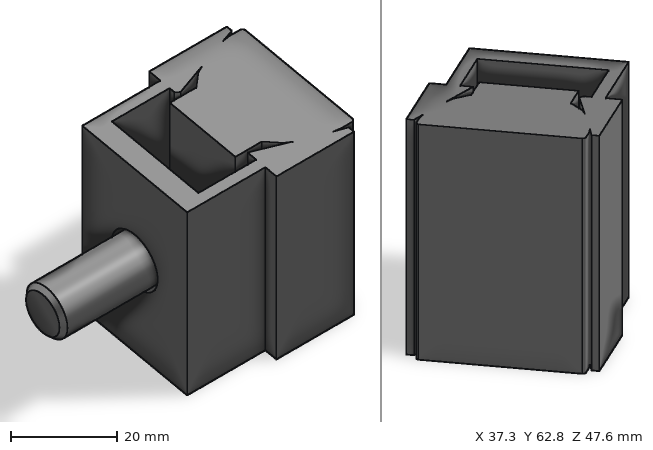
import cadquery as cq

height = 47.6
overall_length = 62.8

block_half_width = 37.3 / 2
frame_half_width = 15.4
window_half_width = 12.7
front_wall = 5.0
shoulder_y = 19.15
block_back_y = 38.2

cap_half_width = 16.4
cap_back_y = 40.25
cap_corner_width = 0.55
cap_corner_depth = 0.9
cap_corner_bulge = 0.3

groove_outer_x = 17.15
groove_root_x = 16.15
groove_root_y = 35.2
groove_neck_y = 37.0

plug_half_width = 9.6
plug_front_y = 16.65
plug_slope_y = 23.2
slit_bend_rise = 2.9
slit_tip_x = 13.3
slit_tip_y = 27.6
hook_tip_x = 10.2
rounded_hook_x = 10.6
rounded_hook_y = 20.2
rounded_hook_base_x = 11.25
rounded_hook_mid_x = 10.75
rounded_hook_mid_y = 19.7

pin_diameter = 12.0
pin_length = overall_length - cap_back_y
pin_chamfer = 1.05
hole_diameter = 13.5


def extrude(profile):
    return profile.close().extrude(height / 2, both=True)


def make_outer_body():
    """Solid outline of frame, block and cap, including the rear V grooves."""
    corner_x = cap_half_width - cap_corner_width
    corner_y = cap_back_y - cap_corner_depth
    bulge_x = cap_half_width - cap_corner_bulge * cap_corner_width
    bulge_y = cap_back_y - cap_corner_bulge * cap_corner_depth
    half = (
        cq.Workplane("XY")
        .lineTo(frame_half_width, 0)
        .lineTo(frame_half_width, shoulder_y)
        .lineTo(block_half_width, shoulder_y)
        .lineTo(block_half_width, block_back_y)
        .lineTo(groove_outer_x, block_back_y)
        .lineTo(groove_root_x, groove_root_y)
        .lineTo(cap_half_width, groove_neck_y)
        .lineTo(cap_half_width, corner_y)
        .threePointArc((bulge_x, bulge_y), (corner_x, cap_back_y))
        .lineTo(0, cap_back_y)
    )
    half = extrude(half)
    return half.union(half.mirror("YZ"))


def make_window():
    """Opening around the plug; the left hook is rounded and the right one is sharp."""
    bend_x = plug_half_width + slit_bend_rise
    bend_y = plug_slope_y + slit_bend_rise
    profile = (
        cq.Workplane("XY")
        .moveTo(-window_half_width, front_wall)
        .lineTo(window_half_width, front_wall)
        .lineTo(window_half_width, shoulder_y)
        .lineTo(hook_tip_x, shoulder_y)
        .lineTo(slit_tip_x, slit_tip_y)
        .lineTo(bend_x, bend_y)
        .lineTo(plug_half_width, plug_slope_y)
        .lineTo(plug_half_width, plug_front_y)
        .lineTo(-plug_half_width, plug_front_y)
        .lineTo(-plug_half_width, plug_slope_y)
        .lineTo(-bend_x, bend_y)
        .lineTo(-slit_tip_x, slit_tip_y)
        .lineTo(-rounded_hook_x, rounded_hook_y)
        .threePointArc((-rounded_hook_mid_x, rounded_hook_mid_y), (-rounded_hook_base_x, shoulder_y))
        .lineTo(-window_half_width, shoulder_y)
    )
    return extrude(profile)


def make_pin():
    """Pin from the plug face out through the front wall, chamfered at its free end."""
    return (
        cq.Workplane("XZ", origin=(0, plug_front_y, 0))
        .circle(pin_diameter / 2)
        .extrude(plug_front_y + pin_length)
        .faces("<Y")
        .chamfer(pin_chamfer)
    )


def make_clearance_hole():
    return cq.Workplane("XZ", origin=(0, front_wall, 0)).circle(hole_diameter / 2).extrude(front_wall)


result = make_outer_body().cut(make_window()).cut(make_clearance_hole()).union(make_pin())